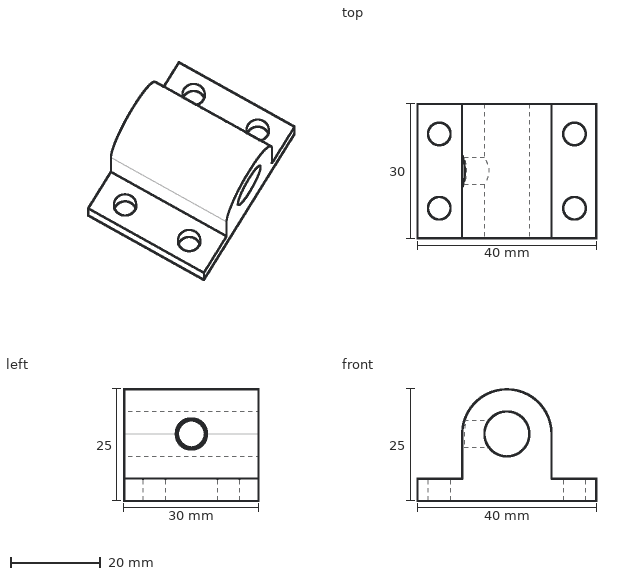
import cadquery as cq

base_width = 40.0
length = 30.0
base_thickness = 5.0

housing_radius = 10.0
bore_diameter = 10.0
bore_height = 15.0

mount_diameter = 5.0
mount_spacing_x = 30.2
mount_spacing_y = 16.6

cross_diameter = 6.0
cross_mouth_diameter = 7.0
cross_chamfer = (cross_mouth_diameter - cross_diameter) / 2


def make_base():
    return cq.Workplane("XY").box(base_width, length, base_thickness, centered=(True, True, False))


def make_housing():
    return (
        cq.Workplane("XZ")
        .moveTo(-housing_radius, 0)
        .lineTo(-housing_radius, bore_height)
        .threePointArc((0, bore_height + housing_radius), (housing_radius, bore_height))
        .lineTo(housing_radius, 0)
        .close()
        .extrude(length / 2, both=True)
    )


def make_bore():
    return cq.Workplane("XZ").center(0, bore_height).circle(bore_diameter / 2).extrude(length / 2, both=True)


def make_mount_holes():
    return (
        cq.Workplane("XY")
        .rect(mount_spacing_x, mount_spacing_y, forConstruction=True)
        .vertices()
        .circle(mount_diameter / 2)
        .extrude(base_thickness)
    )


def make_cross_hole():
    flank = cq.Workplane("YZ", origin=(-housing_radius, 0, bore_height))
    return flank.circle(cross_diameter / 2).extrude(housing_radius)


def chamfer_cross_mouth(body):
    mouth_depth = housing_radius - bore_diameter / 2
    mouth_zone = cq.selectors.BoxSelector(
        (-housing_radius - mouth_depth / 2, -cross_diameter / 2, bore_height - cross_diameter / 2),
        (-housing_radius + mouth_depth / 2, cross_diameter / 2, bore_height + cross_diameter / 2),
    )
    return body.edges(mouth_zone).chamfer(cross_chamfer)


body = make_base().union(make_housing())
body = body.cut(make_bore()).cut(make_mount_holes()).cut(make_cross_hole())
result = chamfer_cross_mouth(body)